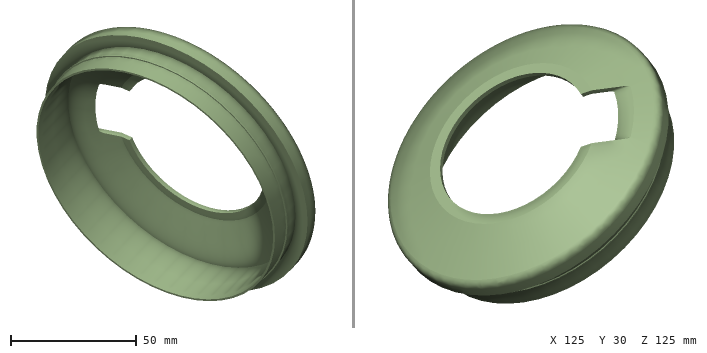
import cadquery as cq

flange_radius = 62.5
tube_radius = 56.7
bead_radius = 57.3
cavity_radius = 55.8
bore_radius = 33.5
lip_radius = 37.1
face_radius = 38.1

total_depth = 30.0
flange_start = 15.0
shoulder_y = 22.1
bead_y = 8.0
bead_width = 0.5
lip_thickness = 2.0

shoulder_round = 3.4
selection_margin = 0.1

notch_width = 26.7
notch_depth = 4.6
notch_round = 0.7

cone_slope = (total_depth - shoulder_y) / (flange_radius - face_radius)
lip_y = total_depth - lip_thickness
cavity_y = lip_y - cone_slope * (cavity_radius - lip_radius)


def turned(points):
    """Revolve a closed (radius, y) outline about the Y axis."""
    return cq.Workplane("XY").polyline(points).close().revolve(360, (0, 0, 0), (0, 1, 0))


def outer_body():
    """Solid tube, flange and cone with a rounded flange shoulder."""
    tube = turned([(0, 0), (tube_radius, 0), (tube_radius, flange_start), (0, flange_start)])
    cap = turned([
        (0, flange_start),
        (flange_radius, flange_start),
        (flange_radius, shoulder_y),
        (face_radius, total_depth),
        (0, total_depth),
    ])
    shoulder = cq.selectors.BoxSelector(
        (-flange_radius - selection_margin, shoulder_y - selection_margin, -flange_radius - selection_margin),
        (flange_radius + selection_margin, shoulder_y + selection_margin, flange_radius + selection_margin),
        boundingbox=True,
    )
    return tube.union(cap.edges(shoulder).fillet(shoulder_round))


def bead():
    """Thin raised ring around the tube."""
    bead_end = bead_y + bead_width
    return turned([(cavity_radius, bead_y), (bead_radius, bead_y),
                   (bead_radius, bead_end), (cavity_radius, bead_end)])


def cavity():
    """Straight tube bore, inside cone and central opening."""
    return turned([
        (0, 0),
        (cavity_radius, 0),
        (cavity_radius, cavity_y),
        (lip_radius, lip_y),
        (bore_radius, lip_y),
        (bore_radius, total_depth),
        (0, total_depth),
    ])


def notch():
    """Flat-floored slot from the axis out to -X, with rounded floor corners."""
    slot = cq.Workplane("XY").box(flange_radius, notch_depth, notch_width, centered=(False, False, True))
    slot = slot.edges("|X and <Y").fillet(notch_round)
    return slot.translate((-flange_radius, total_depth - notch_depth, 0))


result = outer_body().union(bead()).cut(cavity()).cut(notch())